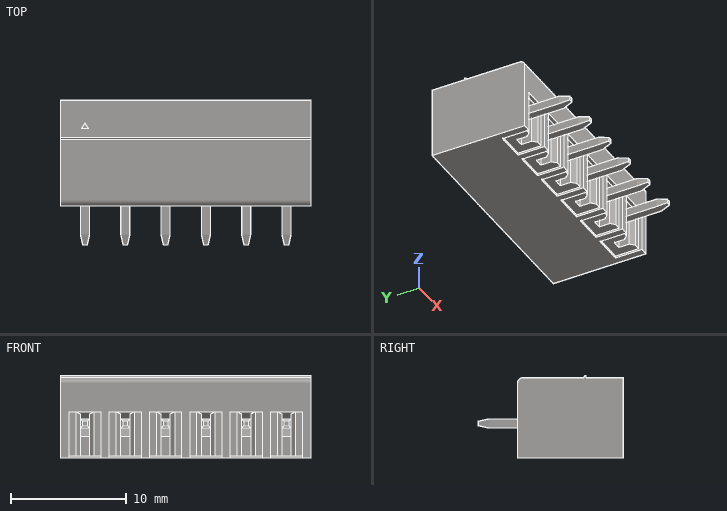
import cadquery as cq
import math

length = 21.8
depth = 9.2
height = 7.0
front_edge_radius = 0.5

ridge_radius = 0.2
ridge_back_y = 5.97

pin_count = 6
pin_row_span = 17.5
pin_pitch = pin_row_span / (pin_count - 1)
pin_size = 0.8
pin_z = 3.0
pin_projection = 3.4
pin_taper_length = 0.92
pin_tip_size = 0.4
pin_embedded_length = 3.27
pin_bottom = pin_z - pin_size / 2
pin_top = pin_z + pin_size / 2

pocket_width = 2.8
pocket_height = 4.01
pocket_depth = 0.33

flare_depth = 0.4
flare_width = pin_size + 2 * flare_depth
flare_end_y = pocket_depth + flare_depth
slot_back_y = 1.75
ramp_start_z = 1.87
ceiling_slope_start_y = 0.4
ceiling_angle = 30

relief_height = 0.2
relief_depth = 2.62

mark_width = 0.57
mark_length = 0.5
mark_base_y = 6.74
mark_depth = 0.09


def extrude_side_profile(points, width):
    """Extrude a (Y, Z) outline along X, centred on X = 0."""
    return cq.Workplane("YZ").polyline(points).close().extrude(width / 2, both=True)


def make_housing():
    block = cq.Workplane("XY").box(length, depth, height, centered=(True, False, False))
    return block.edges("|X and <Y and >Z").fillet(front_edge_radius)


def make_ridge():
    arc_offset = ridge_radius * math.sqrt(0.5)
    return (
        cq.Workplane("YZ")
        .moveTo(ridge_back_y, height)
        .lineTo(ridge_back_y, height + ridge_radius)
        .threePointArc(
            (ridge_back_y - arc_offset, height + arc_offset),
            (ridge_back_y - ridge_radius, height),
        )
        .close()
        .extrude(length / 2, both=True)
    )


def make_pocket():
    """Recess for the pin at X = 0."""
    pocket = cq.Workplane("XY").box(pocket_width, pocket_depth, pocket_height, centered=(True, False, False))
    relief = cq.Workplane("XY").box(pocket_width, relief_depth, relief_height, centered=(True, False, False))

    ceiling_run = (pocket_height - pin_top) / math.tan(math.radians(ceiling_angle))
    slot_side = extrude_side_profile(
        [
            (0, 0),
            (slot_back_y, 0),
            (slot_back_y, ramp_start_z),
            (slot_back_y + pin_bottom - ramp_start_z, pin_bottom),
            (ceiling_slope_start_y + ceiling_run, pin_top),
            (ceiling_slope_start_y, pocket_height),
            (0, pocket_height),
        ],
        flare_width,
    )
    slot_plan = (
        cq.Workplane("XY")
        .polyline(
            [
                (-flare_width / 2, 0),
                (flare_width / 2, 0),
                (flare_width / 2, pocket_depth),
                (pin_size / 2, flare_end_y),
                (pin_size / 2, relief_depth),
                (-pin_size / 2, relief_depth),
                (-pin_size / 2, flare_end_y),
                (-flare_width / 2, pocket_depth),
            ]
        )
        .close()
        .extrude(pocket_height)
    )
    return pocket.union(relief).union(slot_side.intersect(slot_plan))


def make_pin():
    """Square pin at X = 0, rooted in the housing and pointing towards -Y."""
    taper_start = pin_projection - pin_taper_length
    shank = (
        cq.Workplane("XZ", origin=(0, pin_embedded_length, pin_z))
        .rect(pin_size, pin_size)
        .extrude(pin_embedded_length + taper_start)
    )
    tip = (
        cq.Workplane("XZ", origin=(0, -taper_start, pin_z))
        .rect(pin_size, pin_size)
        .workplane(offset=pin_taper_length)
        .rect(pin_tip_size, pin_tip_size)
        .loft(ruled=True)
    )
    return shank.union(tip)


def make_mark(x):
    return (
        cq.Workplane("XY", origin=(x, mark_base_y, height - mark_depth))
        .polyline([(-mark_width / 2, 0), (mark_width / 2, 0), (0, mark_length)])
        .close()
        .extrude(mark_depth)
    )


pin_positions = [i * pin_pitch - pin_row_span / 2 for i in range(pin_count)]

result = make_housing().union(make_ridge())
for x in pin_positions:
    result = result.cut(make_pocket().translate((x, 0, 0)))
    result = result.union(make_pin().translate((x, 0, 0)))
result = result.cut(make_mark(pin_positions[0]))